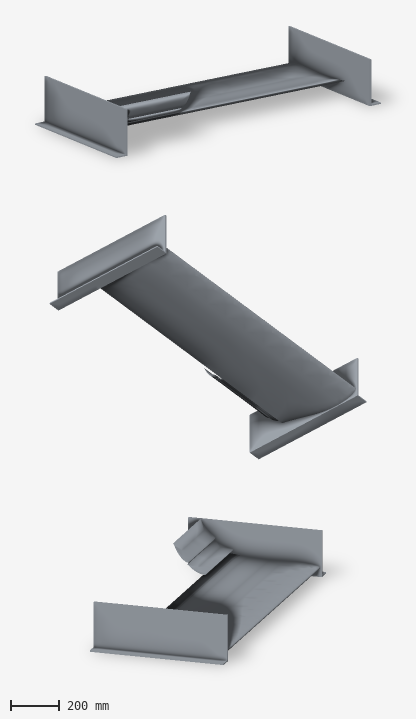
import cadquery as cq

length = 580.0
span = 1332.0
height = 200.0

plate_thickness = 8.0
foot_thickness = 5.0
foot_width = 57.0
inner_face = span / 2 - foot_width

main_front = (8.0, 39.0)
main_rear = (406.0, 65.0)
lower_flap_front = (382.0, 80.0)
lower_flap_rear = (464.0, 115.0)
upper_flap_front = (458.0, 123.0)
upper_flap_rear = (525.0, height)
flap_span = 355.0

main_section = [
    (1, 0), (0.8, -0.01), (0.55, -0.003), (0.35, 0.015), (0.1, 0.03),
    (0, 0), (0.03, -0.035), (0.12, -0.079), (0.3, -0.105), (0.6, -0.075), (1, 0),
]
flap_section = [
    (1, 0), (0.8, -0.04), (0.55, -0.05), (0.3, -0.03), (0.1, 0.01),
    (0, 0), (0.03, -0.04), (0.12, -0.085), (0.3, -0.12), (0.6, -0.105), (1, 0),
]

front_x = -length / 2


def make_end_plate(side):
    """Upright plate with a foot turned outward; side is -1 or 1 along Y."""
    outline = [
        (inner_face, 0),
        (span / 2, 0),
        (span / 2, foot_thickness),
        (inner_face + plate_thickness, foot_thickness),
        (inner_face + plate_thickness, height),
        (inner_face, height),
    ]
    points = [(side * y, z) for y, z in outline]
    return cq.Workplane("YZ", origin=(front_x, 0, 0)).polyline(points).close().extrude(length)


def make_foil(section, front, rear, start_y, foil_span):
    """Cambered foil with a round front edge and a sharp rear edge, extruded along +Y."""
    chord_x = rear[0] - front[0]
    chord_z = rear[1] - front[1]

    def place(point):
        along, offset = point
        x = front_x + front[0] + along * chord_x - offset * chord_z
        z = front[1] + along * chord_z + offset * chord_x
        return (x, z)

    profile = cq.Workplane("XZ", origin=(0, start_y, 0)).spline([place(p) for p in section])
    return profile.wire().extrude(-foil_span)


end_plates = [make_end_plate(side) for side in (-1, 1)]
main_foil = make_foil(main_section, main_front, main_rear, -inner_face, 2 * inner_face)
flap_edges = [(lower_flap_front, lower_flap_rear), (upper_flap_front, upper_flap_rear)]
flaps = [make_foil(flap_section, front, rear, -inner_face, flap_span) for front, rear in flap_edges]

result = cq.Compound.makeCompound(
    [plate.val() for plate in end_plates] + [main_foil.val()] + [flap.val() for flap in flaps]
)